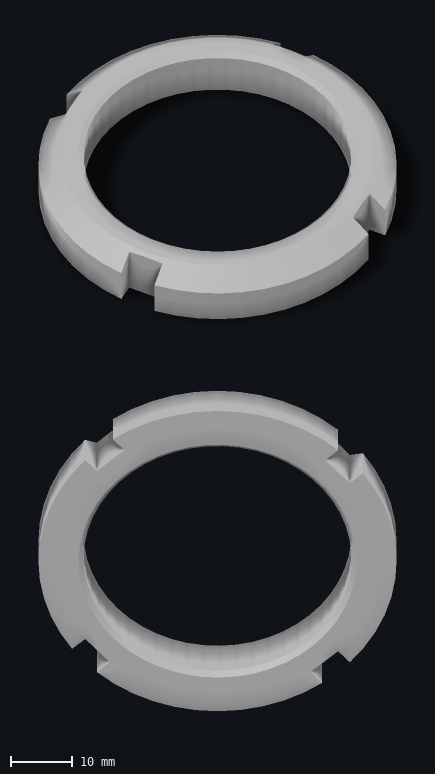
import cadquery as cq

outer_diameter = 58.0
height = 9.0
thread_diameter = 45.0
bore_diameter = 43.376
rim_height = 6.0
top_face_diameter = 50.85

slot_count = 4
slot_width = 6.0
slot_floor_radius = 26.0

outer_radius = outer_diameter / 2
bore_radius = bore_diameter / 2
thread_radius = thread_diameter / 2
top_face_radius = top_face_diameter / 2
bore_chamfer = thread_radius - bore_radius


def make_ring():
    """Revolve the ring section, with its outer cone and bore chamfers."""
    section = [
        (thread_radius, 0),
        (outer_radius, 0),
        (outer_radius, rim_height),
        (top_face_radius, height),
        (thread_radius, height),
        (bore_radius, height - bore_chamfer),
        (bore_radius, bore_chamfer),
    ]
    return cq.Workplane("XZ").polyline(section).close().revolve(360, (0, 0), (0, 1))


def make_slot(angle):
    """Box that opens one full-height spanner slot at the given angle."""
    slot_length = outer_radius
    return (
        cq.Workplane("XY")
        .box(slot_length, slot_width, height, centered=(False, True, False))
        .translate((slot_floor_radius, 0, 0))
        .rotate((0, 0, 0), (0, 0, 1), angle)
    )


result = make_ring()
for index in range(slot_count):
    result = result.cut(make_slot(index * 360 / slot_count))